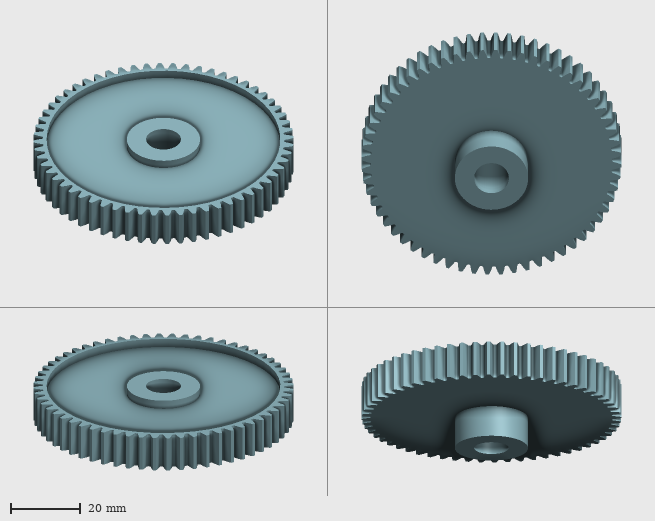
import cadquery as cq
import math

overall_width = 74.35
tooth_count = 60
pressure_angle = math.radians(20)
tooth_pitch = 2 * math.pi / tooth_count
addendum_modules = 1
dedendum_modules = 1.25
root_fillet = 0.45
flank_points = 5

face_width = 10.0
recess_radius = 33.45
recess_depth = 2.5
hub_radius = 10.5
hub_length = 9.0
bore_radius = 5.0


def polar(radius, angle):
    return (radius * math.cos(angle), radius * math.sin(angle))


def involute(angle):
    return math.tan(angle) - angle


def half_tooth_angle(relative_radius):
    """Half of the tooth thickness, as an angle at the axis; the radius is in pitch radii."""
    flank_angle = math.acos(math.cos(pressure_angle) / relative_radius)
    return tooth_pitch / 4 + involute(pressure_angle) - involute(flank_angle)


relative_tip = 1 + 2 * addendum_modules / tooth_count
tip_corner_angle = tooth_pitch / 2 - half_tooth_angle(relative_tip)
tip_radius = overall_width / 2 / math.cos(tip_corner_angle)
pitch_radius = tip_radius / relative_tip
module = 2 * pitch_radius / tooth_count
root_radius = pitch_radius - dedendum_modules * module


def gear_outline():
    """Involute teeth with sharp root corners."""
    flank_step = (tip_radius - root_radius) / (flank_points - 1)
    flank_radii = [root_radius + i * flank_step for i in range(flank_points)]
    flank = [(r, half_tooth_angle(r / pitch_radius)) for r in flank_radii]
    root_half = half_tooth_angle(root_radius / pitch_radius)
    first_tooth = tooth_pitch / 2
    outline = cq.Workplane("XY").moveTo(*polar(root_radius, first_tooth - root_half))
    for tooth in range(tooth_count):
        middle = first_tooth + tooth * tooth_pitch
        rising = [polar(r, middle - half) for r, half in flank]
        falling = [polar(r, middle + half) for r, half in reversed(flank)]
        root_middle = polar(root_radius, middle + tooth_pitch / 2)
        next_tooth = polar(root_radius, middle + tooth_pitch - root_half)
        outline = outline.spline(rising[1:], includeCurrent=True)
        outline = outline.threePointArc(polar(tip_radius, middle), falling[0])
        outline = outline.spline(falling[1:], includeCurrent=True)
        outline = outline.threePointArc(root_middle, next_tooth)
    return outline.close()


def toothed_disc():
    disc = gear_outline().extrude(face_width)
    root_corners = disc.edges("|Z").filter(
        lambda edge: math.hypot(edge.Center().x, edge.Center().y) < pitch_radius
    )
    return root_corners.fillet(root_fillet)


def cylinder(radius, bottom, top):
    return cq.Workplane("XY").workplane(offset=bottom).circle(radius).extrude(top - bottom)


gear = toothed_disc()
gear = gear.cut(cylinder(recess_radius, face_width - recess_depth, face_width))
gear = gear.union(cylinder(hub_radius, -hub_length, face_width))
result = gear.cut(cylinder(bore_radius, -hub_length, face_width))